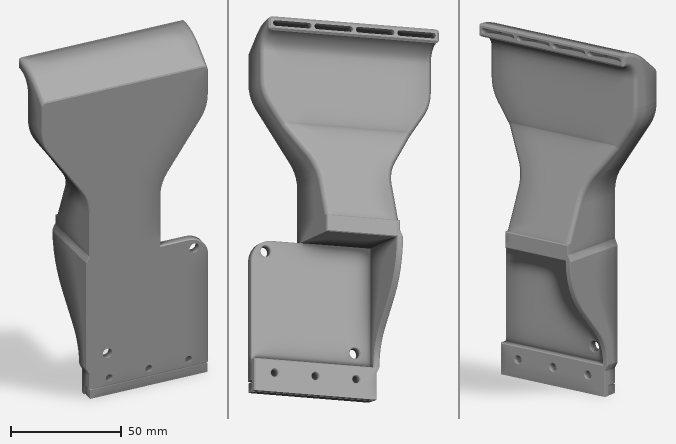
import cadquery as cq
import math

TOP = 170.0
DEPTH = 35.4
EDGE_BREAK = 0.42
SIDE_FILLET = 2.0

HEAD_HALF_WIDTH = 42.0
HEAD_THICKNESS = 15.8
TIP_X = -24.6
TIP_CHAMFER = 1.0
CROWN_RADIUS = 26.3
CROWN_ANGLE = 38.4
HOOK_RADIUS = 7.5
HOOK_END_Z = 156.0
FLARE_TOP_Z = 136.2
FLARE_BOTTOM_Z = 102.2
FLARE_RADIUS = 20.0
BEND_Z = 122.9

GROOVE_COUNT = 4
GROOVE_PITCH = 20.4
GROOVE_LENGTH = 18.9
GROOVE_WIDTH = 2.5
GROOVE_Z = 166.8

NECK_HALF_WIDTH = 18.0
SEAM_Z = 85.5
BLOCK_TOP_Z = 78.2
BLOCK_BOTTOM_Z = 70.4
BLOCK_STEP = 0.7

WALL_INNER_Y = -16.5
BUMP = 1.5
BUMP_SLOPE_HEIGHT = 3.0
BUMP_BOTTOM_Z = 12.2
SWEEP_TOP_CORNER_Z = 55.4
SWEEP_BOTTOM_CORNER_Z = 24.6
SWEEP_TOP_RADIUS = 40.0
SWEEP_BOTTOM_RADIUS = 25.0

PLATE_END_Y = 42.2
PLATE_THICKNESS = 4.0
PLATE_CORNER_RADIUS = 10.0
PLATE_HOLE_DIAMETER = 4.8
PLATE_HOLES = [(35.0, 65.3), (-8.8, 21.5)]
BAR_THICKNESS = 7.8
BAR_HEIGHT = 15.0
BAR_HOLE_DIAMETER = 3.4
BAR_HOLE_PITCH = 20.0
BAR_HOLE_Z = 8.7
BAR_HOLE_MIDDLE_Y = 12.0

STRIP_SIZE = 4.5
STRIP_GAP = 0.7
MARGIN = 0.2


def box(x0, x1, y0, y1, z0, z1):
    return cq.Workplane("XY").box(x1 - x0, y1 - y0, z1 - z0, centered=False).translate((x0, y0, z0))


def near_box(x_range, y_range, z_range):
    """Selector for whatever has its centre in these ranges, widened by the margin."""
    lows, highs = zip(x_range, y_range, z_range)
    return cq.selectors.BoxSelector([low - MARGIN for low in lows], [high + MARGIN for high in highs])


def side_profile():
    """Head and neck seen from the side, extruded over the head width."""
    turn = math.radians(CROWN_ANGLE)
    crown_z = TOP - CROWN_RADIUS

    def on_crown(angle):
        return (TIP_X + CROWN_RADIUS * math.sin(angle), crown_z + CROWN_RADIUS * math.cos(angle))

    crown_end = on_crown(turn)
    back_top_z = crown_end[1] + crown_end[0] * math.tan(turn)
    hook_x = -HEAD_THICKNESS - HOOK_RADIUS
    hook_diagonal = HOOK_RADIUS * math.sqrt(0.5)
    slope_foot_x = -DEPTH + BLOCK_STEP
    return (
        cq.Workplane("XZ")
        .moveTo(0, BLOCK_TOP_Z)
        .lineTo(0, back_top_z)
        .lineTo(*crown_end)
        .threePointArc(on_crown(turn / 2), (TIP_X, TOP))
        .lineTo(TIP_X, HOOK_END_Z + HOOK_RADIUS)
        .lineTo(hook_x, HOOK_END_Z + HOOK_RADIUS)
        .threePointArc((hook_x + hook_diagonal, HOOK_END_Z + hook_diagonal), (-HEAD_THICKNESS, HOOK_END_Z))
        .lineTo(-HEAD_THICKNESS, BEND_Z)
        .lineTo(slope_foot_x, BLOCK_TOP_Z)
        .close()
        .extrude(HEAD_HALF_WIDTH, both=True)
    )


def front_outline():
    """Wide head flaring into the neck, extruded through the depth."""
    half = [
        (NECK_HALF_WIDTH, BLOCK_TOP_Z),
        (NECK_HALF_WIDTH, FLARE_BOTTOM_Z),
        (HEAD_HALF_WIDTH, FLARE_TOP_Z),
        (HEAD_HALF_WIDTH, TOP),
    ]
    mirrored = [(-y, z) for y, z in reversed(half)]
    blank = cq.Workplane("YZ").polyline(half + mirrored).close().extrude(-DEPTH)
    flare = near_box((-DEPTH, 0), (-HEAD_HALF_WIDTH, HEAD_HALF_WIDTH), (FLARE_BOTTOM_Z, FLARE_TOP_Z))
    return blank.edges("|X").edges(flare).fillet(FLARE_RADIUS)


def tip_grooves():
    """Row of slots that run in from the tip, curving along under the crown."""
    first_y = -(GROOVE_COUNT - 1) / 2 * GROOVE_PITCH
    crown_z = TOP - CROWN_RADIUS
    above_axis = GROOVE_Z - crown_z
    return (
        cq.Workplane("YZ", origin=(TIP_X, 0, crown_z))
        .pushPoints([(first_y + i * GROOVE_PITCH, above_axis) for i in range(GROOVE_COUNT)])
        .slot2D(GROOVE_LENGTH, GROOVE_WIDTH)
        .revolve(CROWN_ANGLE, (0, 0), (1, 0))
    )


def head_and_neck():
    """Head, flare and neck in one piece, down to the top of the lower block."""
    body = side_profile().intersect(front_outline())
    tip_face = cq.selectors.NearestToPointSelector((TIP_X, 0, GROOVE_Z))
    body = body.faces(tip_face).edges().chamfer(TIP_CHAMFER)
    width = (-HEAD_HALF_WIDTH, HEAD_HALF_WIDTH)
    off_the_back = near_box((-DEPTH, -2 * MARGIN), width, (BLOCK_TOP_Z + 2 * MARGIN, TOP))
    tip = near_box((TIP_X, TIP_X + TIP_CHAMFER), width, (HOOK_END_Z + HOOK_RADIUS, TOP))
    body = body.edges(off_the_back - tip).edges("not(|X or |Y)").fillet(SIDE_FILLET)
    return body.cut(tip_grooves())


def neck_block():
    block = box(-DEPTH, 0, -NECK_HALF_WIDTH, NECK_HALF_WIDTH, BLOCK_BOTTOM_Z, BLOCK_TOP_Z)
    return block.faces("<X").edges().chamfer(EDGE_BREAK)


def swept_slab(inner_y, outer_y):
    """Slab with a double-curved front edge, from the foot bar up to the lower block."""
    slab = (
        cq.Workplane("XZ", origin=(0, inner_y, 0))
        .polyline([
            (0, 0),
            (-BAR_THICKNESS, 0),
            (-BAR_THICKNESS, SWEEP_BOTTOM_CORNER_Z),
            (-DEPTH, SWEEP_TOP_CORNER_Z),
            (-DEPTH, BLOCK_TOP_Z),
            (0, BLOCK_TOP_Z),
        ])
        .close()
        .extrude(inner_y - outer_y)
    )
    for x, z, radius in [
        (-BAR_THICKNESS, SWEEP_BOTTOM_CORNER_Z, SWEEP_BOTTOM_RADIUS),
        (-DEPTH, SWEEP_TOP_CORNER_Z, SWEEP_TOP_RADIUS),
    ]:
        corner = cq.selectors.NearestToPointSelector((x, (inner_y + outer_y) / 2, z))
        slab = slab.edges("|Y").edges(corner).fillet(radius)
    return slab.faces("<X").edges("|Z").chamfer(EDGE_BREAK)


def side_wall():
    """Thin wall with a curved front edge and a raised outer face, bevelled at its ends."""
    neck_y = -NECK_HALF_WIDTH
    outer_y = neck_y - BUMP
    bevel_top_z = BLOCK_BOTTOM_Z + BUMP_SLOPE_HEIGHT
    section = (
        cq.Workplane("YZ")
        .polyline([
            (WALL_INNER_Y, BUMP_BOTTOM_Z),
            (neck_y, BUMP_BOTTOM_Z),
            (outer_y, BUMP_BOTTOM_Z + BUMP_SLOPE_HEIGHT),
            (outer_y, BLOCK_BOTTOM_Z),
            (neck_y, bevel_top_z),
            (WALL_INNER_Y, bevel_top_z),
        ])
        .close()
        .extrude(-DEPTH)
    )
    return swept_slab(WALL_INNER_Y, outer_y).intersect(section)


def plate():
    blank = box(-PLATE_THICKNESS, 0, -NECK_HALF_WIDTH, PLATE_END_Y, 0, BLOCK_BOTTOM_Z)
    return blank.edges("|X and >Y and >Z").fillet(PLATE_CORNER_RADIUS)


def foot_bar():
    bar = box(-BAR_THICKNESS, 0, -NECK_HALF_WIDTH, PLATE_END_Y, 0, BAR_HEIGHT)
    return bar.faces("<X").edges("not <Z").chamfer(EDGE_BREAK)


def foot_rebate():
    size = STRIP_SIZE + STRIP_GAP
    return box(-size, 0, -NECK_HALF_WIDTH, PLATE_END_Y, 0, size)


def holes(centers, diameter, depth):
    """Through holes along X, each with a broken front edge at the given depth of material."""
    front = cq.Workplane("YZ", origin=(-depth, 0, 0)).pushPoints(centers)
    bores = front.circle(diameter / 2).extrude(depth)
    mouths = front.circle(diameter / 2 + EDGE_BREAK).extrude(EDGE_BREAK, taper=45)
    return bores.union(mouths)


def whole_handle():
    """Head and base before they are parted at the seam, with the back outline broken."""
    body = neck_block().union(side_wall()).union(plate())
    exposed = near_box(
        (-PLATE_THICKNESS, -PLATE_THICKNESS), (NECK_HALF_WIDTH, PLATE_END_Y), (BAR_HEIGHT, BLOCK_BOTTOM_Z)
    )
    body = body.edges(exposed).chamfer(EDGE_BREAK)
    body = body.union(foot_bar()).union(head_and_neck())
    return body.faces(">X").edges().chamfer(EDGE_BREAK)


def above_seam():
    return box(-DEPTH, 0, -HEAD_HALF_WIDTH, HEAD_HALF_WIDTH, SEAM_Z, TOP)


def head(handle):
    return handle.intersect(above_seam())


def base(handle):
    bar_holes = [(BAR_HOLE_MIDDLE_Y + i * BAR_HOLE_PITCH, BAR_HOLE_Z) for i in (-1, 0, 1)]
    return (
        handle.cut(above_seam())
        .cut(holes(PLATE_HOLES, PLATE_HOLE_DIAMETER, PLATE_THICKNESS))
        .cut(holes(bar_holes, BAR_HOLE_DIAMETER, BAR_THICKNESS))
        .cut(foot_rebate())
    )


def strip():
    """Square strip lying along the rebate, its ends set back by the edge break."""
    first_y = -NECK_HALF_WIDTH + EDGE_BREAK
    return box(-STRIP_SIZE, 0, first_y, PLATE_END_Y - EDGE_BREAK, 0, STRIP_SIZE)


handle = whole_handle()
result = cq.Compound.makeCompound([head(handle).val(), base(handle).val(), strip().val()])